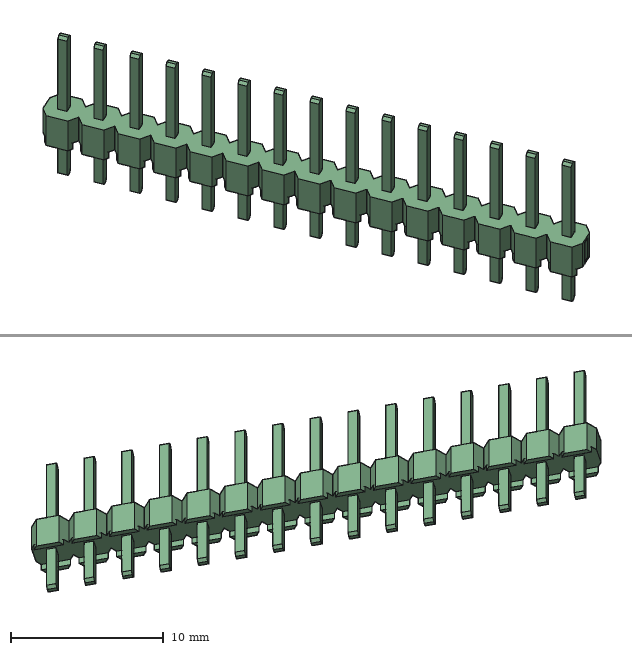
import cadquery as cq


PIN_COUNT = 15
ROW_LENGTH = 38.1
PITCH = ROW_LENGTH / PIN_COUNT

BODY_WIDTH = 2.5
BODY_HEIGHT = 2.48
CELL_LENGTH = 2.5
FLAT_LENGTH = 1.52
NECK_WIDTH = 1.22
CHANNEL_WIDTH = 1.9
CHANNEL_DEPTH = 0.5

BRIDGE_LENGTH = PITCH - CELL_LENGTH
STUB_WIDTH = 0.55
STUB_HEIGHT = 1.6
STUB_TOP = -0.2

PIN_SIZE = 0.65
PIN_ABOVE = 6.02
PIN_BELOW = 3.0
TIP_HEIGHT = 0.2
TIP_THICKNESS = 0.23

first_pin_x = -ROW_LENGTH / 2 + CELL_LENGTH / 2
pin_positions = [first_pin_x + i * PITCH for i in range(PIN_COUNT)]


def make_cell(x):
    """Octagonal block around the pin at x."""
    half_length = CELL_LENGTH / 2
    half_flat = FLAT_LENGTH / 2
    half_neck = NECK_WIDTH / 2
    half_width = BODY_WIDTH / 2
    outline = [
        (half_length, -half_neck),
        (half_length, half_neck),
        (half_flat, half_width),
        (-half_flat, half_width),
        (-half_length, half_neck),
        (-half_length, -half_neck),
        (-half_flat, -half_width),
        (half_flat, -half_width),
    ]
    return cq.Workplane("XY").polyline(outline).close().extrude(-BODY_HEIGHT).translate((x, 0, 0))


def make_bridge(x):
    """Short web joining the cell at x to its neighbour on the +X side."""
    return (
        cq.Workplane("XY", origin=(x + PITCH / 2, 0, 0))
        .rect(BRIDGE_LENGTH, NECK_WIDTH)
        .extrude(-BODY_HEIGHT)
    )


def make_stub(x):
    """Small break-off stub on the +X face of the cell at x."""
    return (
        cq.Workplane("XY", origin=(x + PITCH / 2, 0, STUB_TOP))
        .rect(BRIDGE_LENGTH, STUB_WIDTH)
        .extrude(-STUB_HEIGHT)
    )


def make_channel():
    """Groove running the full length of the strip's underside."""
    return (
        cq.Workplane("XY", origin=(0, 0, -BODY_HEIGHT))
        .rect(ROW_LENGTH, CHANNEL_WIDTH)
        .extrude(CHANNEL_DEPTH)
    )


def make_pin(x):
    """Square pin whose ends are bevelled on the two faces across the row."""
    top = PIN_ABOVE
    bottom = -BODY_HEIGHT - PIN_BELOW
    half_size = PIN_SIZE / 2
    half_tip = TIP_THICKNESS / 2
    profile = [
        (half_size, bottom + TIP_HEIGHT),
        (half_size, top - TIP_HEIGHT),
        (half_tip, top),
        (-half_tip, top),
        (-half_size, top - TIP_HEIGHT),
        (-half_size, bottom + TIP_HEIGHT),
        (-half_tip, bottom),
        (half_tip, bottom),
    ]
    pin = cq.Workplane("YZ").polyline(profile).close().extrude(half_size, both=True)
    return pin.translate((x, 0, 0))


body = make_cell(pin_positions[0])
for position in pin_positions[1:]:
    body = body.union(make_bridge(position - PITCH)).union(make_cell(position))
body = body.cut(make_channel()).union(make_stub(pin_positions[-1]))

result = body
for position in pin_positions:
    result = result.union(make_pin(position))
result = result.clean()